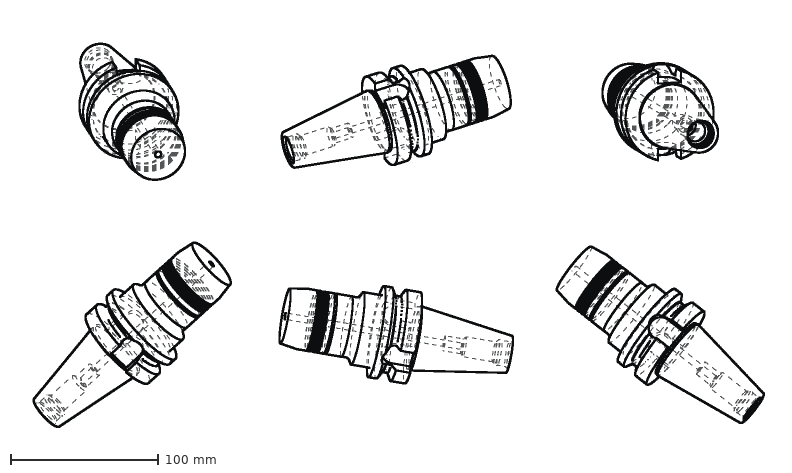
import cadquery as cq
import math


OVERALL_LENGTH = 155.4
TAPER_RADIUS_SLOPE = 7 / 48
TAPER_LARGE_RADIUS = 22.2
TAPER_END = 65.1
TAPER_TIP_ROUND = 0.7
TAPER_NECK_RELIEF = 0.55

FLANGE_RADIUS = 63.0 / 2
FLANGE_START = 67.0
FLANGE_END = 92.3
GROOVE_FLOOR_RADIUS = 26.4
GROOVE_FLOOR_START = 79.9
GROOVE_FLOOR_END = 83.9
GROOVE_WALL_ANGLE = 60.0
GROOVE_CORNER_FILLET = 0.5

SLOT_WIDTH = 16.3
SLOT_FLOOR_HEIGHT = 22.7
SLOT_END = 88.1

COLLAR_RADIUS = 25.0
COLLAR_ROOT_FILLET = 0.5
COLLAR_CHAMFER_ANGLE = 60.0
NECK_FILLET_RADIUS = 3.0
NECK_START = 109.5

NECK_RADIUS = 20.8
NOSE_STEP = 0.08
NOSE_RADIUS = NECK_RADIUS + NOSE_STEP
NOSE_START = 112.8
NOSE_CONE_START = 143.7
NOSE_TIP_RADIUS = 19.0

NOSE_GROOVE_DEPTH = 0.19
SINGLE_GROOVE_START = 123.7
SINGLE_GROOVE_WIDTH = 1.5
MARK_GROOVE_COUNT = 3
FIRST_MARK_CENTER = 130.4
LAST_MARK_CENTER = 136.5
MARK_PITCH = (LAST_MARK_CENTER - FIRST_MARK_CENTER) / (MARK_GROOVE_COUNT - 1)
MARK_WIDTH = 1.9
MARK_WALL_INSET = 0.25

MOUTH_RADIUS = 9.5
PILOT_RADIUS = 8.5
PILOT_START = 1.5
RELIEF_START = 6.8
RELIEF_END = 8.9
RELIEF_DEPTH = 0.3
CORE_RADIUS = 6.8
CORE_DEPTH = 31.1
BORE_CONE_ANGLE = 45.0

SCREW_RADIUS = 5.1
SCREW_LENGTH = 12.5
COOLANT_RADIUS = 2.2

CORE_START = RELIEF_END + (PILOT_RADIUS - CORE_RADIUS) / math.tan(math.radians(BORE_CONE_ANGLE))
SCREW_START = CORE_DEPTH + (CORE_RADIUS - SCREW_RADIUS) / math.tan(math.radians(BORE_CONE_ANGLE))
SCREW_END = SCREW_START + SCREW_LENGTH


def revolve_about_x(profile):
    """Turn a closed (position, radius) profile a full circle about the X axis."""
    return profile.revolve(360, (0, 0, 0), (1, 0, 0))


def turned_blank():
    """Outer shape from the taper tip to the nose, before any cuts."""
    tip_radius = TAPER_LARGE_RADIUS - TAPER_RADIUS_SLOPE * TAPER_END
    tip_round_end_radius = tip_radius + TAPER_RADIUS_SLOPE * TAPER_TIP_ROUND
    taper_neck_radius = TAPER_LARGE_RADIUS - TAPER_NECK_RELIEF

    wall_cos = math.cos(math.radians(GROOVE_WALL_ANGLE))
    wall_sin = math.sin(math.radians(GROOVE_WALL_ANGLE))
    wall_length = (FLANGE_RADIUS - GROOVE_FLOOR_RADIUS) * wall_cos / wall_sin
    fillet_reach = GROOVE_CORNER_FILLET * math.tan(math.radians(GROOVE_WALL_ANGLE / 2))
    fillet_along = fillet_reach * wall_cos
    fillet_top_radius = GROOVE_FLOOR_RADIUS + fillet_reach * wall_sin

    chamfer_angle = math.radians(COLLAR_CHAMFER_ANGLE)
    chamfer_end = NECK_START - NECK_FILLET_RADIUS * math.sin(chamfer_angle)
    chamfer_end_radius = NECK_RADIUS + NECK_FILLET_RADIUS * (1 - math.cos(chamfer_angle))
    collar_end = chamfer_end - (COLLAR_RADIUS - chamfer_end_radius) / math.tan(chamfer_angle)

    shank_profile = (
        cq.Workplane("XZ")
        .lineTo(0, tip_radius - TAPER_TIP_ROUND)
        .tangentArcPoint((TAPER_TIP_ROUND, tip_round_end_radius), relative=False)
        .lineTo(TAPER_END, TAPER_LARGE_RADIUS)
        .lineTo(TAPER_END, taper_neck_radius)
        .lineTo(FLANGE_START, taper_neck_radius)
    )
    flange_profile = (
        shank_profile.lineTo(FLANGE_START, FLANGE_RADIUS)
        .lineTo(GROOVE_FLOOR_START - wall_length, FLANGE_RADIUS)
        .lineTo(GROOVE_FLOOR_START - fillet_along, fillet_top_radius)
        .tangentArcPoint((GROOVE_FLOOR_START + fillet_reach, GROOVE_FLOOR_RADIUS), relative=False)
        .lineTo(GROOVE_FLOOR_END - fillet_reach, GROOVE_FLOOR_RADIUS)
        .tangentArcPoint((GROOVE_FLOOR_END + fillet_along, fillet_top_radius), relative=False)
        .lineTo(GROOVE_FLOOR_END + wall_length, FLANGE_RADIUS)
        .lineTo(FLANGE_END, FLANGE_RADIUS)
    )
    collar_profile = (
        flange_profile.lineTo(FLANGE_END, COLLAR_RADIUS + COLLAR_ROOT_FILLET)
        .tangentArcPoint((FLANGE_END + COLLAR_ROOT_FILLET, COLLAR_RADIUS), relative=False)
        .lineTo(collar_end, COLLAR_RADIUS)
        .lineTo(chamfer_end, chamfer_end_radius)
        .tangentArcPoint((NECK_START, NECK_RADIUS), relative=False)
    )
    nose_profile = (
        collar_profile.lineTo(NOSE_START, NECK_RADIUS)
        .lineTo(NOSE_START, NOSE_RADIUS)
        .lineTo(NOSE_CONE_START, NOSE_RADIUS)
        .lineTo(OVERALL_LENGTH, NOSE_TIP_RADIUS)
        .lineTo(OVERALL_LENGTH, 0)
        .close()
    )
    return revolve_about_x(nose_profile)


def drive_slot(side):
    """Round-ended slot cutter above (side = 1) or below (side = -1) the axis."""
    half_width = SLOT_WIDTH / 2
    round_start = SLOT_END - half_width
    return (
        cq.Workplane("XY", origin=(0, 0, side * SLOT_FLOOR_HEIGHT))
        .moveTo(FLANGE_START, -half_width)
        .lineTo(round_start, -half_width)
        .threePointArc((SLOT_END, 0), (round_start, half_width))
        .lineTo(FLANGE_START, half_width)
        .close()
        .extrude(side * (FLANGE_RADIUS - SLOT_FLOOR_HEIGHT))
    )


def nose_groove(start, width, wall_inset):
    """Ring cutter for a shallow groove whose walls lean inward by wall_inset."""
    floor_radius = NOSE_RADIUS - NOSE_GROOVE_DEPTH
    end = start + width
    return revolve_about_x(
        cq.Workplane("XZ")
        .moveTo(start, NOSE_RADIUS)
        .lineTo(start + wall_inset, floor_radius)
        .lineTo(end - wall_inset, floor_radius)
        .lineTo(end, NOSE_RADIUS)
        .close()
    )


def taper_bore():
    """Cutter for the bore at the taper end, with the screw's seat and the coolant hole."""
    relief_radius = PILOT_RADIUS + RELIEF_DEPTH
    return revolve_about_x(
        cq.Workplane("XZ")
        .lineTo(0, MOUTH_RADIUS)
        .lineTo(PILOT_START, PILOT_RADIUS)
        .lineTo(RELIEF_START, PILOT_RADIUS)
        .lineTo(RELIEF_START, relief_radius)
        .lineTo(RELIEF_END, relief_radius)
        .lineTo(RELIEF_END, PILOT_RADIUS)
        .lineTo(CORE_START, CORE_RADIUS)
        .lineTo(CORE_DEPTH, CORE_RADIUS)
        .lineTo(SCREW_START, SCREW_RADIUS)
        .lineTo(SCREW_END, SCREW_RADIUS)
        .lineTo(SCREW_END, COOLANT_RADIUS)
        .lineTo(OVERALL_LENGTH, COOLANT_RADIUS)
        .lineTo(OVERALL_LENGTH, 0)
        .close()
    )


def make_holder():
    """Tool holder body: turned blank with its slots, nose grooves and bore."""
    body = turned_blank().cut(taper_bore())
    for side in (1, -1):
        body = body.cut(drive_slot(side))
    body = body.cut(nose_groove(SINGLE_GROOVE_START, SINGLE_GROOVE_WIDTH, 0))
    for index in range(MARK_GROOVE_COUNT):
        mark_start = FIRST_MARK_CENTER + index * MARK_PITCH - MARK_WIDTH / 2
        body = body.cut(nose_groove(mark_start, MARK_WIDTH, MARK_WALL_INSET))
    return body.solids()


def make_adjusting_screw():
    """Plain screw sleeve that fills its seat and carries the coolant hole."""
    return (
        cq.Workplane("YZ", origin=(SCREW_START, 0, 0))
        .circle(SCREW_RADIUS)
        .circle(COOLANT_RADIUS)
        .extrude(SCREW_LENGTH)
    )


holder = make_holder()
adjusting_screw = make_adjusting_screw()

result = cq.Compound.makeCompound([holder.val(), adjusting_screw.val()])